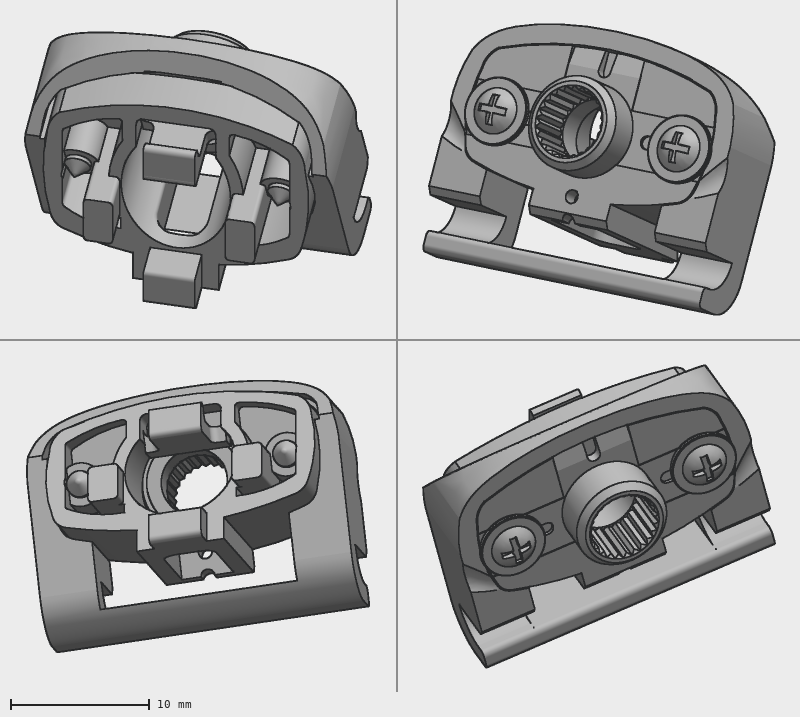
import cadquery as cq
import math

TILT = 120.0
SIN_TILT = math.sin(math.radians(TILT))
COS_TILT = math.cos(math.radians(TILT))
FAR = 27.6

HALF_WIDTH = 11.5
HOUSING_TOP = 7.45
HOUSING_DEPTH = 6.95
HOUSING_BOTTOM = -6.83
TOP_EDGE_DEPTH = 1.17
BEVEL_FOOT = 2.6
BACK_CHAMFER = 0.55
HOOK_LIP_TOP = -9.25
HOOK_BOTTOM = -10.8
HOOK_TIP_DEPTH = 1.47
HOOK_TIP_ROUND = 0.5
HOOK_THROAT_DEPTH = 4.78
WINDOW_HALF_WIDTH = 7.27
WINDOW_TOP = -4.15
CORE_CLEARANCE = 0.1
RELIEF_OFFSET = 0.45
RELIEF_DEPTH = 2.44
RELIEF_BOTTOM = 2.3

CORE_TOP = 5.98
CORE_BOTTOM = -4.92
CORE_FRONT = -7.3
TIP_FRONT = -9.18
BAND_DEPTH = 0.07
BAND_HALF_HEIGHT = 2.05
CHANNEL_HALF_WIDTH = 3.0
RAMP_START = 4.46
RAMP_DEPTH = 0.41
PLATE_THICKNESS = 1.55
BORE_RADIUS = 4.1
BORE_WALL_RADIUS = 5.05
POCKET_DEPTH = 4.2
POCKET_OUTER_X = 8.5
POCKET_INNER_X = 4.0
LEG_GAP_X = 4.15
WALL_ARC_MIDDLE = 21.0
POCKET_ROUND = 0.35
FOOT_HALF_WIDTH = 3.22
FOOT_BOTTOM = -6.75
SLOT_HALF_WIDTH = 1.9
SLOT_END = 9.52
SLOT_ROUND = 1.15
SLOT_LIP_ROUND = 0.37
UPPER_POCKET_TOP = 4.85
UPPER_POCKET_DEPTH = 3.15
UPPER_POCKET_ROUND = 0.5
CLIP_HALF_WIDTH = 1.93
CLIP_TOP = 3.31
CLIP_BOTTOM = 2.15
CLIP_BASE_DEPTH = 4.92
CLIP_ROOT_ROUND = 0.55
LOWER_CLIP_TOP = -4.35
CLIP_NOSE_TOP = 0.15
CLIP_EMBED = 1.15
CLIP_EDGE_ROUND = 0.37
LEG_X = 5.31
LEG_WIDTH = 2.2
LEG_TOP = 0.41
LEG_BOTTOM = -2.55
LEG_ROUND = 0.32
BOSS_RADIUS = 1.6
BOSS_END = 7.13
KEY_DIAMETER = 1.0
KEY_CENTRE = 4.48
KEY_DEPTH = 0.92
FOOT_HOLE_CENTRE = -4.95

SCREW_X = 7.61
FLANGE_DIAMETER = 5.0
FLANGE_TOP = 0.3
FLANGE_CHAMFER = 0.07
HEAD_RADIUS = 1.7
HEAD_TOP = 1.1
SHANK_DIAMETER = 1.93
SHANK_END = 7.45
POINT_END = 8.46
RECESS_LENGTH = 2.2
RECESS_WIDTH = 0.5
RECESS_DEPTH = 0.58
KEYWAY_END_X = 4.3
KEYWAY_WIDTH = 1.0
KEYWAY_DEPTH = 0.35

SCOOP_Y = -1.43
SCOOP_RISE = 1.01
SCOOP_RADIUS = 1.45
SCOOP_INNER_X = 9.1
SCOOP_INNER_Y = -3.22

BUSHING_DIAMETER = 7.0
BUSHING_TOP = 3.31
BUSHING_TOP_RADIUS = 3.01
BUSHING_CHAMFER_HEIGHT = 0.55
BUSHING_END = 3.0
COLLAR_DIAMETER = 7.75
COLLAR_END = 2.6
SPLINE_TIP_DIAMETER = 4.85
SPLINE_ROOT_DIAMETER = 5.38
SPLINE_TEETH = 25
SPLINE_END = 0.7


def place(body):
    """Turn a body from the tilted frame into its final position."""
    return body.rotate((0, 0, 0), (1, 0, 0), TILT)


def upright(height, depth):
    """Final (Y, Z) of a point given by its height and depth in the tilted frame."""
    return (height * COS_TILT - depth * SIN_TILT, height * SIN_TILT + depth * COS_TILT)


def upright_line(height, y):
    """Final (Y, Z) of the point at a final Y on the tilted line of constant height."""
    return (y, (height - y * COS_TILT) / SIN_TILT)


def block(half_width, y_low, y_high, z_low, z_high):
    return (
        cq.Workplane("XY")
        .box(2 * half_width, y_high - y_low, z_high - z_low, centered=(True, False, False))
        .translate((0, y_low, z_low))
    )


def cylinder(diameter, x, y, z_low, z_high):
    return cq.Workplane("XY", origin=(x, y, z_low)).circle(diameter / 2).extrude(z_high - z_low)


def both_sides(body):
    return body.union(body.mirror("YZ"))


def front_space(y):
    """Everything in front of an upright plane."""
    return cq.Workplane("XY").box(2 * FAR, FAR, 2 * FAR).translate((0, y - FAR / 2, 0))


def core_outline():
    return (
        cq.Workplane("XY")
        .moveTo(-FOOT_HALF_WIDTH, CORE_BOTTOM)
        .threePointArc((-5.86, -4.5), (-8.4, -3.85))
        .threePointArc((-9.06, -3.45), (-9.43, -2.75))
        .threePointArc((-9.94, 0.45), (-9.65, 2.88))
        .threePointArc((-9.38, 3.82), (-8.75, 4.5))
        .threePointArc((0, CORE_TOP), (8.75, 4.5))
        .threePointArc((9.38, 3.82), (9.65, 2.88))
        .threePointArc((9.94, 0.45), (9.43, -2.75))
        .threePointArc((9.06, -3.45), (8.4, -3.85))
        .threePointArc((5.86, -4.5), (FOOT_HALF_WIDTH, CORE_BOTTOM))
        .close()
    )



def housing_face():
    """Outline seen square to the mounting face: a domed top on straight sides."""
    dome_right = [(4.83, 7.08), (7.75, 6.37), (9.34, 5.64), (10.85, 4.02)]
    dome_left = [(-x, y) for x, y in reversed(dome_right)][1:]
    return (
        cq.Workplane("XY")
        .moveTo(-HALF_WIDTH, HOOK_BOTTOM)
        .lineTo(-HALF_WIDTH, 0)
        .threePointArc((-11.35, 2.3), (-10.85, 4.02))
        .spline([*dome_left, (0, HOUSING_TOP), *dome_right], includeCurrent=True)
        .threePointArc((11.35, 2.3), (HALF_WIDTH, 0))
        .lineTo(HALF_WIDTH, HOOK_BOTTOM)
        .close()
        .extrude(HOUSING_DEPTH)
    )


def housing_side():
    """Side profile: bevelled top, flat back and the hook along the bottom."""
    tip_inner = HOOK_TIP_DEPTH + HOOK_TIP_ROUND
    return (
        cq.Workplane("YZ")
        .moveTo(HOUSING_TOP, 0)
        .lineTo(HOUSING_TOP, TOP_EDGE_DEPTH)
        .lineTo(BEVEL_FOOT, HOUSING_DEPTH)
        .lineTo(-7.82, HOUSING_DEPTH)
        .threePointArc((-9.91, 6.07), (HOOK_BOTTOM, 3.9))
        .lineTo(HOOK_BOTTOM, tip_inner)
        .threePointArc((-10.67, 1.6), (HOOK_BOTTOM + HOOK_TIP_ROUND, HOOK_TIP_DEPTH))
        .lineTo(HOOK_LIP_TOP - HOOK_TIP_ROUND, HOOK_TIP_DEPTH)
        .threePointArc((-9.38, 1.6), (HOOK_LIP_TOP, tip_inner))
        .lineTo(HOOK_LIP_TOP, 2.53)
        .threePointArc((-8.53, 4.1), (HOUSING_BOTTOM, HOOK_THROAT_DEPTH))
        .lineTo(HOUSING_BOTTOM, BACK_CHAMFER)
        .lineTo(HOUSING_BOTTOM + BACK_CHAMFER, 0)
        .close()
        .extrude(HALF_WIDTH, both=True)
    )


def side_scoop():
    """Cone that dips into the rim at the side and runs out at the core."""
    run = math.hypot(HALF_WIDTH - SCOOP_INNER_X, SCOOP_INNER_Y - SCOOP_Y)
    outward = cq.Vector(HALF_WIDTH - SCOOP_INNER_X, SCOOP_Y - SCOOP_INNER_Y, 0)
    end_radius = 2 * SCOOP_RADIUS - SCOOP_RISE
    cone = cq.Solid.makeCone(
        SCOOP_RISE, end_radius, 2 * run,
        cq.Vector(SCOOP_INNER_X, SCOOP_INNER_Y, -SCOOP_RISE), outward,
    )
    return both_sides(cq.Workplane(obj=cone))


def make_housing():
    body = housing_face().intersect(housing_side())
    body = body.cut(core_outline().offset2D(CORE_CLEARANCE).extrude(HOUSING_DEPTH))
    relief = core_outline().offset2D(RELIEF_OFFSET).extrude(HOUSING_DEPTH)
    relief = relief.intersect(block(HALF_WIDTH, RELIEF_BOTTOM, HOUSING_TOP, RELIEF_DEPTH, HOUSING_DEPTH))
    body = body.cut(relief)
    body = body.cut(block(WINDOW_HALF_WIDTH, HOOK_LIP_TOP, WINDOW_TOP, 0, HOUSING_DEPTH))
    body = body.cut(both_sides(cylinder(FLANGE_DIAMETER, SCREW_X, 0, 0, BAND_DEPTH)))
    return place(body.cut(side_scoop()))



def side_pocket():
    """Pocket on the +X side, bounded inward by the wall round the bore."""
    wall_y = math.sqrt(BORE_WALL_RADIUS**2 - POCKET_INNER_X**2)
    leg_wall_x = math.sqrt(BORE_WALL_RADIUS**2 - LEG_TOP**2)
    mid = math.radians(WALL_ARC_MIDDLE)
    return (
        cq.Workplane("XY", origin=(0, 0, POCKET_DEPTH))
        .moveTo(POCKET_OUTER_X, 3.31)
        .threePointArc((6.55, 4.19), (4.37, 4.65))
        .threePointArc((4.12, 4.58), (POCKET_INNER_X, 4.32))
        .lineTo(POCKET_INNER_X, wall_y)
        .threePointArc(
            (BORE_WALL_RADIUS * math.cos(mid), BORE_WALL_RADIUS * math.sin(mid)), (leg_wall_x, LEG_TOP)
        )
        .lineTo(LEG_X, LEG_BOTTOM)
        .lineTo(LEG_GAP_X, LEG_BOTTOM)
        .lineTo(LEG_GAP_X, -3.27)
        .threePointArc((6.67, -2.97), (POCKET_OUTER_X, -2.16))
        .close()
        .extrude(FAR)
        .edges("|Z and >X")
        .fillet(POCKET_ROUND)
    )


def back_steps():
    """Shallow steps on the mounting face, with the channel, key groove and keyways."""
    band = block(HALF_WIDTH, -BAND_HALF_HEIGHT, BAND_HALF_HEIGHT, 0, BAND_DEPTH)
    channel = block(CHANNEL_HALF_WIDTH, 0, CORE_TOP, 0, BAND_DEPTH)
    ramp = (
        cq.Workplane("YZ")
        .polyline([(RAMP_START, 0), (RAMP_START, BAND_DEPTH), (CORE_TOP, RAMP_DEPTH), (CORE_TOP, 0)])
        .close()
        .extrude(CHANNEL_HALF_WIDTH, both=True)
    )
    key = cylinder(KEY_DIAMETER, 0, KEY_CENTRE, 0, KEY_DEPTH)
    key = key.union(block(KEY_DIAMETER / 2, KEY_CENTRE, CORE_TOP, 0, KEY_DEPTH))
    seats = both_sides(cylinder(FLANGE_DIAMETER, SCREW_X, 0, 0, BAND_DEPTH))
    keyway_length = SCREW_X - KEYWAY_END_X
    keyway = (
        cq.Workplane("XY")
        .center(KEYWAY_END_X + keyway_length / 2, 0)
        .slot2D(keyway_length, KEYWAY_WIDTH)
        .extrude(KEYWAY_DEPTH)
    )
    return band.union(ramp).union(channel).union(key).union(seats).union(both_sides(keyway))


def drain_slot():
    """Slot through the lower wall and foot, rounded at its front end."""
    return block(SLOT_HALF_WIDTH, FOOT_BOTTOM, 0, PLATE_THICKNESS, SLOT_END).edges("|Y and >Z").fillet(SLOT_ROUND)


def slot_lip():
    """Selects the edges where the slot breaks into the bore."""
    margin = 0.02
    return cq.selectors.BoxSelector(
        (-SLOT_HALF_WIDTH - margin, -BORE_RADIUS - margin, PLATE_THICKNESS + margin),
        (SLOT_HALF_WIDTH + margin, -BORE_RADIUS / 2, SLOT_END + margin),
    )


def upper_pocket():
    """Pocket above the bore: round-cornered behind, and open to the bore in front of the clip base."""
    rear = block(CHANNEL_HALF_WIDTH, CLIP_TOP, UPPER_POCKET_TOP, UPPER_POCKET_DEPTH, FAR)
    front = block(CHANNEL_HALF_WIDTH, 0, UPPER_POCKET_TOP, CLIP_BASE_DEPTH, FAR)
    rear = rear.edges("|Z").fillet(UPPER_POCKET_ROUND)
    return rear.union(front.edges("|Z and >Y").fillet(UPPER_POCKET_ROUND))


def clip_base():
    return block(CHANNEL_HALF_WIDTH, CLIP_BOTTOM, UPPER_POCKET_TOP, UPPER_POCKET_DEPTH, CLIP_BASE_DEPTH)


def clip_root():
    """Concave rounds between the clip base and the sides of the arm."""
    half_width = CLIP_HALF_WIDTH + CLIP_ROOT_ROUND
    end = CLIP_BASE_DEPTH + CLIP_ROOT_ROUND
    root = block(half_width, CLIP_BOTTOM, CLIP_TOP, CLIP_BASE_DEPTH, end)
    round_cut = (
        cq.Workplane("XZ", origin=(half_width, CLIP_TOP, end))
        .circle(CLIP_ROOT_ROUND)
        .extrude(CLIP_TOP - CLIP_BOTTOM)
    )
    return root.cut(both_sides(round_cut))


def legs():
    leg = (
        cq.Workplane("XY", origin=(LEG_X, (LEG_TOP + LEG_BOTTOM) / 2, POCKET_DEPTH))
        .rect(LEG_WIDTH, LEG_TOP - LEG_BOTTOM)
        .extrude(FAR)
        .edges("|Z")
        .fillet(LEG_ROUND)
    )
    return place(both_sides(leg)).cut(front_space(TIP_FRONT))


def upper_clip():
    """Arm with an upward nose at its tip, drawn in its final upright position."""
    return (
        cq.Workplane("YZ")
        .polyline([upright(CLIP_TOP, UPPER_POCKET_DEPTH), upright_line(CLIP_TOP, -7.6)])
        .threePointArc((-7.9, -0.65), (-8.15, -0.48))
        .lineTo(-8.5, CLIP_NOSE_TOP)
        .lineTo(-8.83, CLIP_NOSE_TOP)
        .threePointArc((-9.08, 0.02), (TIP_FRONT, -0.32))
        .lineTo(TIP_FRONT, -2.16)
        .threePointArc((-9.05, -2.53), upright_line(CLIP_BOTTOM, -8.72))
        .lineTo(*upright(CLIP_BOTTOM, UPPER_POCKET_DEPTH))
        .close()
        .extrude(CLIP_HALF_WIDTH, both=True)
    )


def lower_clip():
    root_y = CORE_FRONT + CLIP_EMBED
    clip = (
        cq.Workplane("YZ")
        .polyline([
            upright_line(LOWER_CLIP_TOP, root_y),
            upright_line(LOWER_CLIP_TOP, TIP_FRONT),
            upright_line(FOOT_BOTTOM, TIP_FRONT),
            upright_line(FOOT_BOTTOM, root_y),
        ])
        .close()
        .extrude(CLIP_HALF_WIDTH, both=True)
    )
    return clip.edges("|X and <Y").fillet(CLIP_EDGE_ROUND)


def make_core():
    body = core_outline().extrude(FAR)
    foot = block(FOOT_HALF_WIDTH, FOOT_BOTTOM, 0, 0, FAR)
    body = body.union(foot.edges("|X and <Y and <Z").chamfer(BACK_CHAMFER))
    body = body.cut(back_steps())
    body = body.cut(both_sides(side_pocket()))
    boss = cylinder(2 * BOSS_RADIUS, SCREW_X, 0, PLATE_THICKNESS, BOSS_END)
    body = body.union(both_sides(boss))
    body = body.cut(cylinder(2 * BORE_RADIUS, 0, 0, PLATE_THICKNESS, FAR))
    body = body.cut(drain_slot())
    body = body.edges(slot_lip()).fillet(SLOT_LIP_ROUND)
    body = body.union(clip_base()).cut(upper_pocket()).union(clip_root())
    body = body.cut(cylinder(COLLAR_DIAMETER, 0, 0, PLATE_THICKNESS, COLLAR_END))
    body = body.cut(cylinder(BUSHING_DIAMETER, 0, 0, 0, BUSHING_END))
    body = body.cut(both_sides(cylinder(SHANK_DIAMETER, SCREW_X, 0, 0, POINT_END)))
    for centre in (FOOT_HOLE_CENTRE, FOOT_BOTTOM):
        body = body.cut(cylinder(KEY_DIAMETER, 0, centre, 0, PLATE_THICKNESS))
    body = place(body).cut(front_space(CORE_FRONT))
    return body.union(legs()).union(upper_clip()).union(lower_clip())



def make_screw(x):
    """Pan-head screw with a wide flange, a cross recess and a pointed end."""
    flange_radius = FLANGE_DIAMETER / 2
    shank_radius = SHANK_DIAMETER / 2
    screw = (
        cq.Workplane("XZ")
        .moveTo(0, -HEAD_TOP)
        .threePointArc((1.04, -0.87), (HEAD_RADIUS, -FLANGE_TOP))
        .lineTo(flange_radius - FLANGE_CHAMFER, -FLANGE_TOP)
        .lineTo(flange_radius, FLANGE_CHAMFER - FLANGE_TOP)
        .lineTo(flange_radius, BAND_DEPTH)
        .lineTo(shank_radius, BAND_DEPTH)
        .lineTo(shank_radius, SHANK_END)
        .lineTo(0, POINT_END)
        .close()
        .revolve(360, (0, 0), (0, 1))
    )
    for angle in (0, 90):
        arm = cq.Workplane("XY").box(RECESS_LENGTH, RECESS_WIDTH, 2 * RECESS_DEPTH)
        screw = screw.cut(arm.rotate((0, 0, 0), (0, 0, 1), angle).translate((0, 0, -HEAD_TOP)))
    return place(screw.translate((x, 0, 0)))



def spline_bore():
    """Toothed bore: root and tip points alternate round the circle."""
    points = []
    for step in range(2 * SPLINE_TEETH):
        angle = math.pi * step / SPLINE_TEETH
        diameter = SPLINE_ROOT_DIAMETER if step % 2 else SPLINE_TIP_DIAMETER
        points.append((diameter / 2 * math.sin(angle), diameter / 2 * math.cos(angle)))
    return (
        cq.Workplane("XY", origin=(0, 0, -BUSHING_TOP)).polyline(points).close().extrude(BUSHING_TOP + SPLINE_END)
    )


def make_bushing():
    radius = BUSHING_DIAMETER / 2
    mouth_depth = (SPLINE_ROOT_DIAMETER - SPLINE_TIP_DIAMETER) / 2
    body = (
        cq.Workplane("XZ")
        .polyline([
            (SPLINE_TIP_DIAMETER / 2, mouth_depth - BUSHING_TOP),
            (SPLINE_ROOT_DIAMETER / 2, -BUSHING_TOP),
            (BUSHING_TOP_RADIUS, -BUSHING_TOP),
            (radius, BUSHING_CHAMFER_HEIGHT - BUSHING_TOP),
            (radius, PLATE_THICKNESS),
            (COLLAR_DIAMETER / 2, PLATE_THICKNESS),
            (COLLAR_DIAMETER / 2, COLLAR_END),
            (radius, COLLAR_END),
            (radius, BUSHING_END),
            (SPLINE_TIP_DIAMETER / 2, BUSHING_END),
        ])
        .close()
        .revolve(360, (0, 0), (0, 1))
    )
    return place(body.cut(spline_bore()))


housing = make_housing()
core = make_core()
bushing = make_bushing()
screws = [make_screw(x) for x in (-SCREW_X, SCREW_X)]

result = cq.Compound.makeCompound([
    housing.solids().val(),
    core.solids().val(),
    bushing.solids().val(),
    *[screw.solids().val() for screw in screws],
])